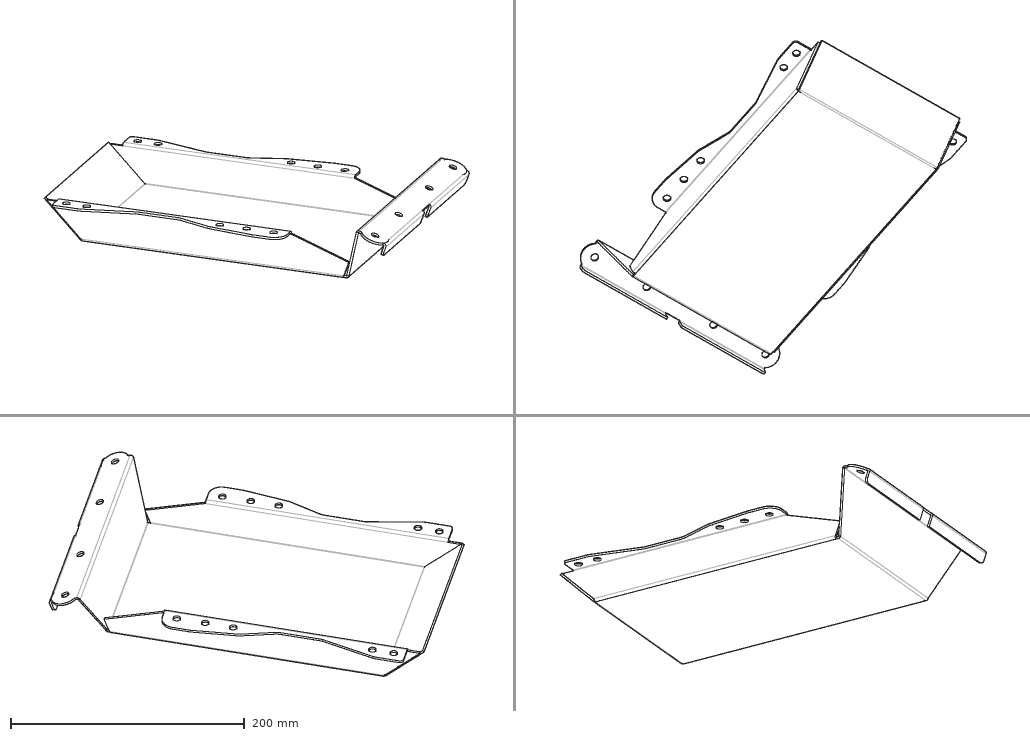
import math

import cadquery as cq

thickness = 2.0
outer_bend_radius = 2.43
inner_bend_radius = outer_bend_radius - thickness
hole_diameter = 6.5

floor_start = 35.0
floor_end = 278.5
lip_angle = 45
tray_half_width = 72.5
wall_end_height = 15.2
wall_end_gap = 2.0

flange_top = 36.3
flange_start = 14.3
flange_end = 228.0
front_pad_y = 90.8
front_pad_end = 39.5
front_corner_radius = 3.0
waist_y = 79.0
waist_start = 88.5
waist_end = 127.2
slope_break = (158.5, 89.5)
rear_pad_y = 94.5
rear_pad_start = 200.5
rear_corner_radius = 11.7
contour_radius = 13.0
side_hole_positions = (24.3, 43.0, 165.8, 190.5, 215.5)
side_hole_y = 82.0

lean_angle = 20
total_length = 324.5
total_height = 54.2
hook_half_width = 96.0
down_edge_length = 12.3
down_edge_corner_radius = 4.2
notch_width = 15.2
ear_radius = 12.3
total_width = 204.0
middle_hole_y = 35.0
strip_hole_offset = 15.0

ear_hole_y = total_width / 2 - ear_radius
lean_slope = math.tan(math.radians(lean_angle))
cos_lean = math.cos(math.radians(lean_angle))
sin_lean = math.sin(math.radians(lean_angle))
floor_edge = tray_half_width + thickness - outer_bend_radius
wall_top = flange_top - outer_bend_radius

bend_rounding = outer_bend_radius * (cos_lean + sin_lean - 1)
lip_tip_x = thickness * math.sin(math.radians(lip_angle))
lip_rise = (floor_start - lip_tip_x) * math.tan(math.radians(lip_angle))
crest_z = total_height + bend_rounding
crest_x = floor_end + (crest_z - thickness) * lean_slope
brow_x = total_length + bend_rounding
brow_z = crest_z - (brow_x - crest_x) * lean_slope
edge_end_x = brow_x - down_edge_length * sin_lean
edge_end_z = brow_z - down_edge_length * cos_lean


def heading(start, end):
    """Direction from start to end, in radians."""
    return math.atan2(end[1] - start[1], end[0] - start[0])


def folded_sheet(plane, skin, width):
    """Sheet centred on the plane; its thickness lies to the right of the skin points."""
    headings = [heading(a, b) for a, b in zip(skin, skin[1:])]
    arriving = [headings[0]] + headings
    leaving = headings + [headings[-1]]
    turns = [after - before for before, after in zip(arriving, leaving)]
    back_skin = []
    for (u, v), before, turn in zip(skin, arriving, turns):
        normal = before + turn / 2 - math.pi / 2
        miter = thickness / math.cos(turn / 2)
        back_skin.append((u + miter * math.cos(normal), v + miter * math.sin(normal)))

    blank = cq.Workplane(plane).polyline(skin + back_skin[::-1]).close()
    sheet = blank.extrude(width / 2, both=True)
    frame = cq.Plane.named(plane)
    for front, back, turn in list(zip(skin, back_skin, turns))[1:-1]:
        inside, outside = (front, back) if turn > 0 else (back, front)
        for corner, radius in ((inside, inner_bend_radius), (outside, outer_bend_radius)):
            place = frame.toWorldCoords(corner).toTuple()
            sheet = sheet.edges(cq.selectors.NearestToPointSelector(place)).fillet(radius)
    return sheet


def make_lip_and_hook():
    """Lip, floor, back plate, strip and down-turned edge folded from one strip."""
    skin = [
        (lip_tip_x, thickness + lip_rise),
        (floor_start, thickness),
        (floor_end, thickness),
        (crest_x, crest_z),
        (brow_x, brow_z),
        (edge_end_x, edge_end_z),
    ]
    return folded_sheet("XZ", skin, 2 * hook_half_width)


def mirrored_pair(half):
    """The given solid together with its mirror image across the middle plane."""
    return half.union(half.mirror("XZ"))


def make_side_offcut():
    """Metal beside the lip, the floor and the tapered back plate on the +Y side."""
    taper_top = crest_z - outer_bend_radius
    beyond_hook = hook_half_width + thickness
    tray_offcut = cq.Workplane("XY").box(
        floor_end, beyond_hook - tray_half_width, total_height, centered=False
    )
    back_outline = [
        (tray_half_width, 0),
        (tray_half_width, thickness),
        (hook_half_width, taper_top),
        (beyond_hook, taper_top),
        (beyond_hook, 0),
    ]
    back_offcut = cq.Workplane("YZ", origin=(floor_end, 0, 0)).polyline(back_outline).close()
    back_offcut = back_offcut.extrude(crest_x + thickness - floor_end)
    return tray_offcut.translate((0, tray_half_width, 0)).union(back_offcut)


def round_down_edge(sheet):
    """Round the two lower corners of the down-turned edge."""
    end_x = edge_end_x - thickness / 2 * cos_lean
    end_z = edge_end_z + thickness / 2 * sin_lean
    for y in (hook_half_width, -hook_half_width):
        corner = cq.selectors.NearestToPointSelector((end_x, y, end_z))
        sheet = sheet.edges(corner).fillet(down_edge_corner_radius)
    return sheet


def finish_strip(sheet):
    """Add the round ears, drill the strip and notch the down-turned edge."""
    strip_plane = cq.Plane(
        origin=(crest_x, 0, crest_z), xDir=(cos_lean, 0, -sin_lean), normal=(sin_lean, 0, cos_lean)
    )
    ear_centers = [(strip_hole_offset, y) for y in (ear_hole_y, -ear_hole_y)]
    hole_centers = ear_centers + [(strip_hole_offset, y) for y in (middle_hole_y, -middle_hole_y)]
    strip_length = (brow_x - crest_x) / cos_lean
    flat_end = strip_length - outer_bend_radius

    ears = cq.Workplane(strip_plane).pushPoints(ear_centers).circle(ear_radius).extrude(-thickness)
    holes = cq.Workplane(strip_plane).pushPoints(hole_centers).circle(hole_diameter / 2)
    notch = cq.Workplane(strip_plane).center(flat_end + outer_bend_radius / 2, 0)
    notch = notch.rect(outer_bend_radius, notch_width).extrude(-2 * down_edge_length)
    return sheet.union(ears).cut(holes.extrude(-thickness)).cut(notch)


def make_flange_plan():
    """Tall block with the plan outline of the +Y side flange and its holes."""
    contour = [
        (flange_start, front_pad_y, front_corner_radius),
        (front_pad_end, front_pad_y, contour_radius),
        (waist_start, waist_y, contour_radius),
        (waist_end, waist_y, contour_radius),
        (*slope_break, contour_radius),
        (rear_pad_start, rear_pad_y, contour_radius),
        (flange_end, rear_pad_y, rear_corner_radius),
    ]
    outline = [(flange_start, 0)] + [(x, y) for x, y, _ in contour] + [(flange_end, 0)]
    plan = cq.Workplane("XY").polyline(outline).close().extrude(total_height)
    for x, y, radius in contour:
        corner = cq.selectors.NearestToPointSelector((x, y, total_height / 2))
        plan = plan.edges(corner).fillet(radius)
    hole_centers = [(x, side_hole_y) for x in side_hole_positions]
    holes = cq.Workplane("XY").pushPoints(hole_centers).circle(hole_diameter / 2)
    return plan.cut(holes.extrude(total_height))


def make_wall_profile():
    """Thick block with the side outline of a wall below its flange."""
    lip_slope = math.tan(math.radians(lip_angle))
    wall_end_x = floor_end - wall_end_gap / cos_lean
    outline = [
        (floor_start - (wall_top - thickness) / lip_slope, wall_top),
        (floor_start, thickness),
        (floor_start, 0),
        (wall_end_x - thickness * lean_slope, 0),
        (wall_end_x + (wall_end_height - thickness) * lean_slope, wall_end_height),
        (flange_end, wall_top),
    ]
    return cq.Workplane("XZ").polyline(outline).close().extrude(-hook_half_width)


def make_side_wall():
    """Side wall on +Y, bent up from the floor and outwards into its flange."""
    skin = [
        (hook_half_width, flange_top),
        (tray_half_width, flange_top),
        (tray_half_width, thickness),
        (floor_edge - thickness, thickness),
    ]
    folded = folded_sheet("YZ", skin[::-1], 2 * total_length)
    above_walls = cq.Workplane("XY", origin=(0, 0, wall_top)).rect(2 * total_length, total_width)
    flange_zone = make_flange_plan().intersect(above_walls.extrude(outer_bend_radius))
    return folded.intersect(make_wall_profile().union(flange_zone))


side_offcuts = mirrored_pair(make_side_offcut())
lip_and_hook = round_down_edge(make_lip_and_hook().cut(side_offcuts))
side_walls = mirrored_pair(make_side_wall())
result = finish_strip(lip_and_hook).union(side_walls)